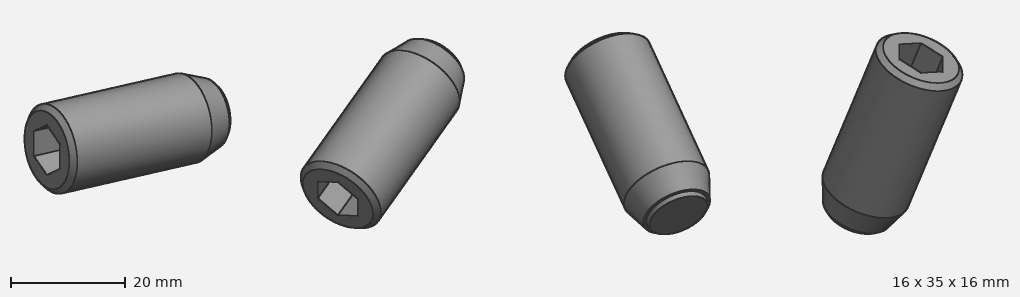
import cadquery as cq
import math

length = 35.0
radius = 16.0 / 2
socket_end_y = -length / 2
tip_end_y = length / 2

socket_chamfer = 1.0
cone_slope = math.tan(math.radians(20.0))
cone_start_y = tip_end_y - 5.7
pad_thickness = 0.85
shoulder_y = tip_end_y - pad_thickness
shoulder_radius = radius - (shoulder_y - cone_start_y) * cone_slope

hex_across_flats = 8.0
hex_across_corners = hex_across_flats / math.cos(math.radians(30.0))
hex_depth = 10.0

pad_tip_radius = 5.4
pad_base_radius = pad_tip_radius + pad_thickness * cone_slope


def revolve_about_y(profile_points):
    """Turn a closed (radius, y) profile a full circle about the Y axis."""
    profile = cq.Workplane("XY").polyline(profile_points).close()
    return profile.revolve(360, (0, 0, 0), (0, 1, 0))


def hex_socket():
    """Blind hexagonal cutter that goes into the socket end along +Y."""
    mouth = cq.Workplane("XZ", origin=(0, socket_end_y, 0))
    corners_up = mouth.transformed(rotate=(0, 0, 90))
    return corners_up.polygon(6, hex_across_corners).extrude(-hex_depth)


def make_screw():
    """Cylinder with a chamfered socket end and a tapered, flat-shouldered tip end."""
    turned = revolve_about_y([
        (0, socket_end_y),
        (radius - socket_chamfer, socket_end_y),
        (radius, socket_end_y + socket_chamfer),
        (radius, cone_start_y),
        (shoulder_radius, shoulder_y),
        (0, shoulder_y),
    ])
    return turned.cut(hex_socket())


def make_thrust_pad():
    """Thin tapered disc that rests on the screw's flat shoulder."""
    return revolve_about_y([
        (0, shoulder_y),
        (pad_base_radius, shoulder_y),
        (pad_tip_radius, tip_end_y),
        (0, tip_end_y),
    ])


screw = make_screw()
thrust_pad = make_thrust_pad()

result = cq.Compound.makeCompound([screw.val(), thrust_pad.val()])